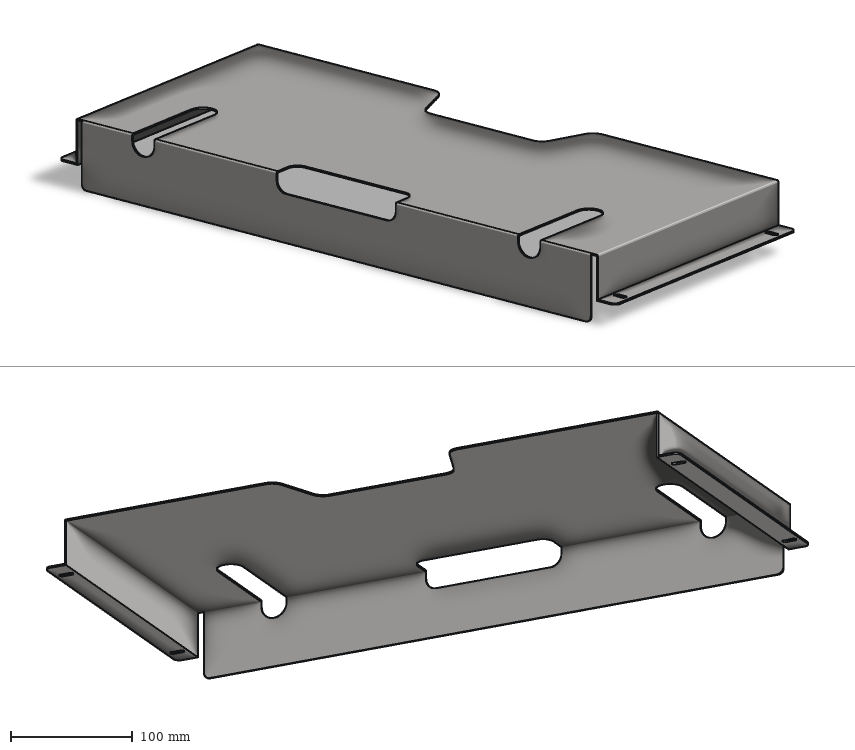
import cadquery as cq
import math

total_width = 585.0
total_depth = 240.0
total_height = 60.0
sheet = 1.5
bend_radius = 2.0

box_width = 548.0
side_height = 40.5
front_panel_width = 534.5
corner_radius = 5.0

rear_cutout_mouth = 160.0
rear_cutout_floor = 124.0
rear_cutout_depth = 47.5
rear_cutout_radius = 12.0

side_slot_width = 23.5
side_slot_spacing = 405.5
side_slot_length = 90.5
center_opening_width = 125.0
center_opening_length = 25.0
center_opening_radius = 10.0
fold_opening_drop = 17.5

mount_slot_length = 12.0
mount_slot_width = 4.5
mount_slot_spacing_x = 565.0
mount_slot_spacing_y = 200.0
mount_slot_rear_offset = 20.0

front_y = -total_depth / 2
rear_y = total_depth / 2
panel_back_y = front_y + sheet
body_depth = rear_y - panel_back_y
body_center_y = (rear_y + panel_back_y) / 2
mount_slot_center_y = rear_y - mount_slot_rear_offset - mount_slot_spacing_y / 2


def block(x_range, y_range, z_range):
    """Axis-aligned box given by its low and high limits."""
    (x0, x1), (y0, y1), (z0, z1) = x_range, y_range, z_range
    return cq.Workplane("XY").box(x1 - x0, y1 - y0, z1 - z0, centered=False).translate((x0, y0, z0))


def channel():
    """Top plate with both side walls, folded along Y."""
    half = box_width / 2
    outer = block((-half, half), (panel_back_y, rear_y), (-side_height, 0))
    outer = outer.edges("|Y and >Z").fillet(bend_radius)
    inner_half = half - sheet
    inner = block((-inner_half, inner_half), (panel_back_y, rear_y), (-side_height, -sheet))
    inner = inner.edges("|Y and >Z").fillet(bend_radius - sheet)
    return outer.cut(inner)


def mounting_flange(side):
    """Outward flange at the foot of one side wall; side is -1 or 1."""
    inner_x = box_width / 2 - sheet
    flange_width = total_width / 2 - inner_x
    flange = (
        cq.Workplane("XY", origin=(side * (inner_x + flange_width / 2), body_center_y, -side_height))
        .rect(flange_width, body_depth)
        .extrude(sheet)
    )
    outer_edges = "|Z and >X" if side > 0 else "|Z and <X"
    return flange.edges(outer_edges).fillet(corner_radius)


def front_panel():
    """Panel folded down from the front edge, with a short strip of plate behind the fold."""
    half = front_panel_width / 2
    strip_end_y = front_y + 2 * bend_radius
    outer = block((-half, half), (front_y, strip_end_y), (-total_height, 0))
    outer = outer.edges("|X and >Z and <Y").fillet(bend_radius)
    outer = outer.edges("|Y and <Z").fillet(corner_radius)
    inner = block((-half, half), (panel_back_y, strip_end_y), (-total_height, -sheet))
    inner = inner.edges("|X and >Z and <Y").fillet(bend_radius - sheet)
    return outer.cut(inner)


def rear_cutout():
    """Trapezoidal notch with rounded floor corners and flared mouth corners."""
    half_mouth = rear_cutout_mouth / 2
    half_floor = rear_cutout_floor / 2
    floor_y = rear_y - rear_cutout_depth
    flank_angle = math.atan2(half_mouth - half_floor, rear_cutout_depth)
    setback = rear_cutout_radius * math.tan((math.pi / 2 - flank_angle) / 2)
    margin_y = rear_y + sheet
    outline_half = half_mouth + 2 * setback
    body = (
        cq.Workplane("XY", origin=(0, 0, -2 * sheet))
        .polyline([
            (-outline_half, margin_y), (-outline_half, rear_y), (-half_mouth, rear_y),
            (-half_floor, floor_y), (half_floor, floor_y),
            (half_mouth, rear_y), (outline_half, rear_y), (outline_half, margin_y),
        ])
        .close()
        .extrude(3 * sheet)
    )
    rounded_corners = cq.selectors.BoxSelector(
        (-half_mouth - sheet, floor_y - sheet, -total_height),
        (half_mouth + sheet, rear_y + sheet / 2, total_height),
    )
    return body.edges("|Z").edges(rounded_corners).fillet(rear_cutout_radius)


def fold_tool(plate_profile, panel_profile):
    """Join a plate cut and a panel cut, both centered on the front fold line."""
    in_plate = plate_profile.extrude(2 * sheet, both=True)
    in_panel = panel_profile.extrude(2 * sheet, both=True)
    return in_plate.union(in_panel)


def side_slot(center_x):
    """Slot across the fold with a full round at each end."""
    fold_point = (center_x, front_y, 0)
    return fold_tool(
        cq.Workplane("XY", origin=fold_point).slot2D(2 * side_slot_length, side_slot_width, 90),
        cq.Workplane("XZ", origin=fold_point).slot2D(2 * fold_opening_drop, side_slot_width, 90),
    )


def center_opening():
    """Wide opening across the fold with rounded corners."""
    fold_point = (0, front_y, 0)
    in_plate = cq.Sketch().rect(center_opening_width, 2 * center_opening_length)
    in_panel = cq.Sketch().rect(center_opening_width, 2 * fold_opening_drop)
    return fold_tool(
        cq.Workplane("XY", origin=fold_point).placeSketch(in_plate.vertices().fillet(center_opening_radius)),
        cq.Workplane("XZ", origin=fold_point).placeSketch(in_panel.vertices().fillet(center_opening_radius)),
    )


def mounting_slots():
    return (
        cq.Workplane("XY", origin=(0, mount_slot_center_y, -side_height - sheet))
        .rarray(mount_slot_spacing_x, mount_slot_spacing_y, 2, 2)
        .slot2D(mount_slot_length, mount_slot_width)
        .extrude(3 * sheet)
    )


result = channel().union(front_panel())
for side in (-1, 1):
    result = result.union(mounting_flange(side))

result = result.cut(rear_cutout()).cut(mounting_slots()).cut(center_opening())
for side in (-1, 1):
    result = result.cut(side_slot(side * side_slot_spacing / 2))